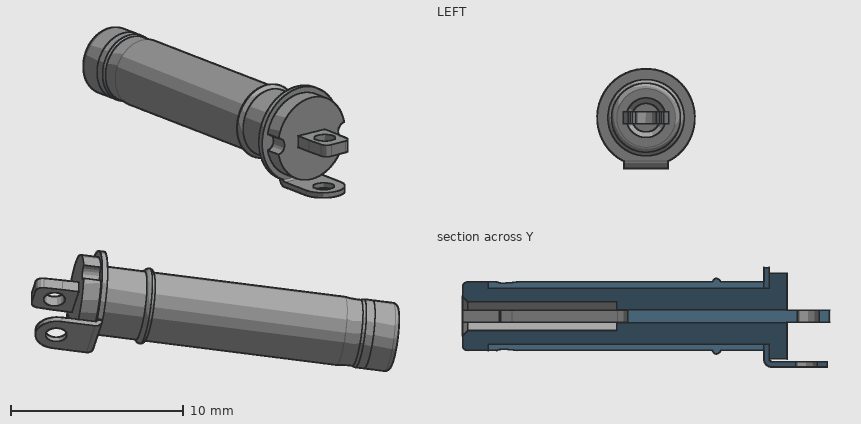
import cadquery as cq
import math

OVERALL_LENGTH = 21.3
OVERALL_HEIGHT = 5.8

BARREL_RADIUS = 2.0
BARREL_START = 1.5
BEAD_START = 14.5
BEAD_CREST_X = 14.72
BEAD_END = 15.0
BEAD_CREST_RADIUS = 2.22
BEAD_BULGE = 0.05
CRIMP_START = 2.0
CRIMP_STEP_END = 2.2
CRIMP_END = 3.15
CRIMP_DEPTH = 0.06
CRIMP_SAG = 0.02

WASHER_START = 17.49
WASHER_RADIUS = 5.69 / 2
SHEET_THICKNESS = 0.32
WASHER_END = WASHER_START + SHEET_THICKNESS
TAB_WIDTH = 2.55
TAB_BOTTOM = WASHER_RADIUS - OVERALL_HEIGHT
TAB_END = 21.17
BEND_INNER_RADIUS = 0.13
BEND_OUTER_RADIUS = BEND_INNER_RADIUS + SHEET_THICKNESS
BEND_TOP = TAB_BOTTOM + BEND_OUTER_RADIUS

NOSE_ROUND = 0.3
CORE_RADIUS = 1.62
BOSS_RADIUS = 2.5
BOSS_END = 18.83
NOTCH_RADIUS = 0.5
PIN_BORE_RADIUS = 0.83
PIN_BORE_DEPTH = 8.95
MOUTH_CHAMFER = 0.32

CONTACT_THICKNESS = 0.7
FORK_WIDTH = 2.65
FORK_TIP_X = 2.13
TIP_WIDTH = 0.25
TIP_BEVEL_LENGTH = 0.09
TIP_GAP = 1.58
FLARE_END = 3.2
PINCH_GAP = 1.2
PINCH_LEAD = 0.64
GAP_END = 9.58
SHOULDER_X = 14.9
TAIL_WIDTH = 1.98
TAPER_START = 19.8
TAIL_END_WIDTH = 1.87
TAIL_CORNER_RADIUS = 0.43

CONTACT_HOLE_X = 20.06
TAB_HOLE_X = 19.95
WIRE_HOLE_RADIUS = 0.62


def cylinder(radius, start, end):
    return cq.Workplane("YZ", origin=(start, 0, 0)).circle(radius).extrude(end - start)


def wire_hole(x):
    """Vertical cutter for a wire hole at the given X."""
    return cq.Workplane("XY", origin=(x, 0, 0)).circle(WIRE_HOLE_RADIUS).extrude(OVERALL_HEIGHT, both=True)


def bulge_point(start, end, bulge):
    """Point beside the middle of a chord, to the left of its direction when bulge is positive."""
    chord_x = end[0] - start[0]
    chord_y = end[1] - start[1]
    length = math.hypot(chord_x, chord_y)
    middle_x = (start[0] + end[0]) / 2
    middle_y = (start[1] + end[1]) / 2
    return (middle_x - bulge * chord_y / length, middle_y + bulge * chord_x / length)


def make_barrel():
    crimp_bottom = (CRIMP_STEP_END, BARREL_RADIUS - CRIMP_DEPTH)
    crimp_top = (CRIMP_END, BARREL_RADIUS)
    bead_start = (BEAD_START, BARREL_RADIUS)
    bead_crest = (BEAD_CREST_X, BEAD_CREST_RADIUS)
    bead_end = (BEAD_END, BARREL_RADIUS)
    return (
        cq.Workplane("XY")
        .moveTo(BARREL_START, CORE_RADIUS)
        .lineTo(BARREL_START, BARREL_RADIUS)
        .lineTo(CRIMP_START, BARREL_RADIUS)
        .lineTo(*crimp_bottom)
        .threePointArc(bulge_point(crimp_bottom, crimp_top, -CRIMP_SAG), crimp_top)
        .lineTo(*bead_start)
        .threePointArc(bulge_point(bead_start, bead_crest, BEAD_BULGE), bead_crest)
        .threePointArc(bulge_point(bead_crest, bead_end, BEAD_BULGE), bead_end)
        .lineTo(WASHER_START, BARREL_RADIUS)
        .lineTo(WASHER_START, CORE_RADIUS)
        .close()
        .revolve(360, (0, 0, 0), (1, 0, 0))
    )


def make_washer():
    below_bend = cq.Workplane("XY").box(
        OVERALL_LENGTH, 2 * WASHER_RADIUS, WASHER_RADIUS, centered=(False, True, False)
    ).translate((0, 0, BEND_TOP - WASHER_RADIUS))
    disc = cylinder(WASHER_RADIUS, WASHER_START, WASHER_END).cut(below_bend)

    bend_x = WASHER_START + BEND_OUTER_RADIUS
    tab_top = TAB_BOTTOM + SHEET_THICKNESS
    diagonal = math.sqrt(0.5)
    outer_middle = (bend_x - BEND_OUTER_RADIUS * diagonal, BEND_TOP - BEND_OUTER_RADIUS * diagonal)
    inner_middle = (bend_x - BEND_INNER_RADIUS * diagonal, BEND_TOP - BEND_INNER_RADIUS * diagonal)
    tab = (
        cq.Workplane("XZ")
        .moveTo(WASHER_START, BEND_TOP)
        .threePointArc(outer_middle, (bend_x, TAB_BOTTOM))
        .lineTo(TAB_END, TAB_BOTTOM)
        .lineTo(TAB_END, tab_top)
        .lineTo(bend_x, tab_top)
        .threePointArc(inner_middle, (WASHER_END, BEND_TOP))
        .close()
        .extrude(TAB_WIDTH / 2, both=True)
    )
    round_x = TAB_END - TAB_WIDTH / 2
    tab_outline = (
        cq.Workplane("XY", origin=(0, 0, TAB_BOTTOM))
        .moveTo(WASHER_START, -TAB_WIDTH / 2)
        .lineTo(round_x, -TAB_WIDTH / 2)
        .threePointArc((TAB_END, 0), (round_x, TAB_WIDTH / 2))
        .lineTo(WASHER_START, TAB_WIDTH / 2)
        .close()
        .extrude(BEND_OUTER_RADIUS)
    )
    core_hole = cylinder(CORE_RADIUS, WASHER_START, WASHER_END)
    return disc.union(tab.intersect(tab_outline)).cut(core_hole).cut(wire_hole(TAB_HOLE_X))


def make_insulator():
    nose = cylinder(BARREL_RADIUS, 0, BARREL_START).faces("<X").edges().fillet(NOSE_ROUND)
    core = cylinder(CORE_RADIUS, BARREL_START, WASHER_END)
    boss = cylinder(BOSS_RADIUS, WASHER_END, BOSS_END)
    for side in (-1, 1):
        notch = cylinder(NOTCH_RADIUS, WASHER_END, BOSS_END).translate((0, side * BOSS_RADIUS, 0))
        boss = boss.cut(notch)
    mouth_radius = PIN_BORE_RADIUS + MOUTH_CHAMFER
    pin_bore = (
        cq.Workplane("XY")
        .lineTo(0, mouth_radius)
        .lineTo(MOUTH_CHAMFER, PIN_BORE_RADIUS)
        .lineTo(PIN_BORE_DEPTH, PIN_BORE_RADIUS)
        .lineTo(PIN_BORE_DEPTH, 0)
        .close()
        .revolve(360, (0, 0, 0), (1, 0, 0))
    )
    fork_slot = cq.Workplane("XY").box(
        SHOULDER_X, FORK_WIDTH, CONTACT_THICKNESS, centered=(False, True, True)
    )
    tail_slot = cq.Workplane("XY").box(
        BOSS_END, TAIL_WIDTH, CONTACT_THICKNESS, centered=(False, True, True)
    )
    return nose.union(core).union(boss).cut(pin_bore).cut(fork_slot).cut(tail_slot)


def make_contact():
    """Fork at the mating end with bevelled tips and sprung-in prongs, narrowing to a solder tail."""
    tip_inner_y = TIP_GAP / 2
    tip_outer_y = tip_inner_y + TIP_WIDTH
    tip_base_x = FORK_TIP_X + TIP_BEVEL_LENGTH
    pinch_x = tip_base_x + PINCH_LEAD
    half_gap = PINCH_GAP / 2

    lead_rise = tip_inner_y - half_gap
    lead_radius = (PINCH_LEAD**2 + lead_rise**2) / (2 * lead_rise)
    lead_half_angle = math.asin(PINCH_LEAD / lead_radius) / 2
    lead_middle = (
        pinch_x - lead_radius * math.sin(lead_half_angle),
        half_gap + lead_radius * (1 - math.cos(lead_half_angle)),
    )
    half_blade = (
        cq.Workplane("XY", origin=(0, 0, -CONTACT_THICKNESS / 2))
        .moveTo(GAP_END, 0)
        .radiusArc((GAP_END - half_gap, half_gap), -half_gap)
        .lineTo(pinch_x, half_gap)
        .threePointArc(lead_middle, (tip_base_x, tip_inner_y))
        .lineTo(FORK_TIP_X, tip_inner_y + TIP_WIDTH / 2)
        .lineTo(tip_base_x, tip_outer_y)
        .lineTo(FLARE_END, FORK_WIDTH / 2)
        .lineTo(SHOULDER_X, FORK_WIDTH / 2)
        .lineTo(SHOULDER_X, TAIL_WIDTH / 2)
        .lineTo(TAPER_START, TAIL_WIDTH / 2)
        .lineTo(OVERALL_LENGTH, TAIL_END_WIDTH / 2)
        .lineTo(OVERALL_LENGTH, 0)
        .close()
        .extrude(CONTACT_THICKNESS)
    )
    blade = half_blade.union(half_blade.mirror("XZ"))
    blade = blade.faces(">X").edges("|Z").fillet(TAIL_CORNER_RADIUS)
    return blade.cut(wire_hole(CONTACT_HOLE_X))


barrel = make_barrel()
washer = make_washer()
insulator = make_insulator()
contact = make_contact()

result = cq.Compound.makeCompound([barrel.val(), washer.val(), insulator.val(), contact.val()])